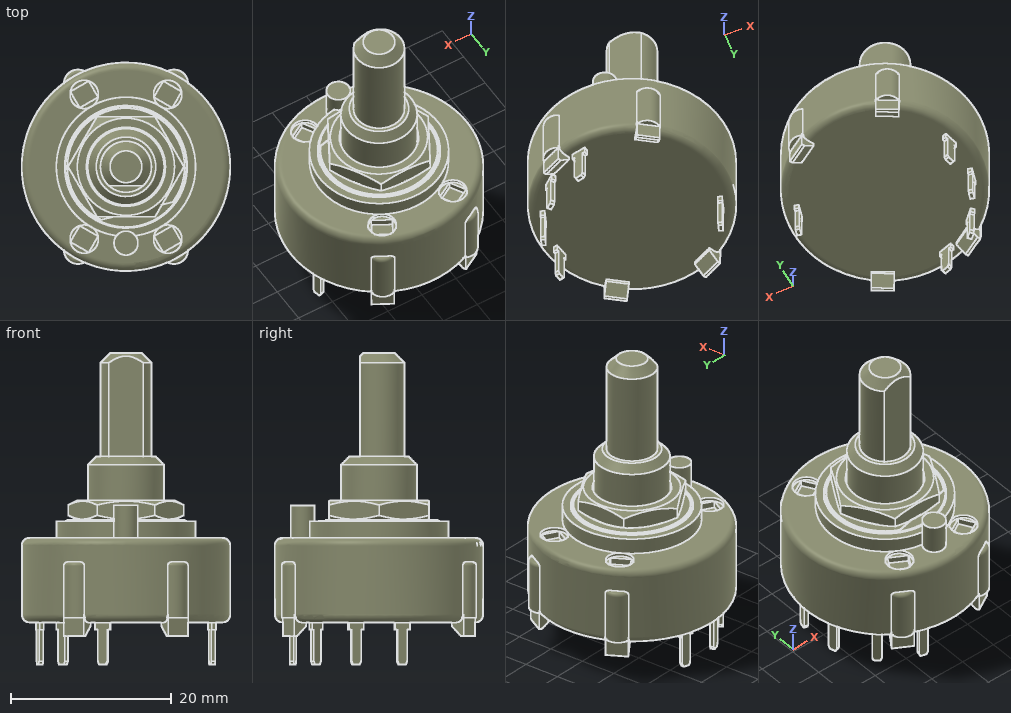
import cadquery as cq
import math

body_bottom = 5.25
body_top = 15.8
boss_top = 17.85
disc_top = 17.93
washer_top = 18.0
nut_top = 20.45
bushing_top = 25.9
shaft_top = 38.8

body_diameter = 26.0
body_face_diameter = 24.0
body_rounding = (body_diameter - body_face_diameter) / 2
boss_diameter = 17.35
boss_groove_diameter = 15.3
boss_groove_depth = 0.4
disc_diameter = 15.0
washer_diameter = 14.6
washer_flat_distance = 5.65
washer_flat_turn = 14

nut_across_flats = 12.5
nut_face_diameter = 12.1
nut_bevel_height = 0.6
nut_bore_diameter = 9.85
bushing_diameter = 9.5
bushing_bevel = 1.05
shaft_diameter = 6.35
shaft_bevel = 1.2
flat_distance = 2.35
flat_depth_in_bushing = 1.35

locating_pin_diameter = 3.0
locating_pin_top = 19.83
locating_pin_radius = 9.5

clip_angles = (60, 120, 240, 300)
clip_hole_diameter = 3.55
clip_hole_radius = 10.4
clip_hole_depth = 0.45
clip_pocket_width = 2.65
clip_pocket_length = 2.33
clip_pocket_depth = 1.35
rib_diameter = 3.55
rib_radius = 11.95
rib_bottom = 5.82
rib_top = 12.8
rib_rounding = 0.5
hook_outer_radius = 13.0
hook_width = 2.87
hook_bottom = 3.55
hook_tip_length = 0.4
hook_root_length = 1.75
hook_root_bottom = 4.8

terminal_angles = (15, 165, 195, 225, 255)
terminal_radius = 11.1
terminal_thickness = 0.55
terminal_width = 1.25
terminal_tip_width = 0.85
terminal_tip_height = 0.43
shoulder_width = 1.9
shoulder_bottom = 4.35

embed = 0.4


def disc(diameter, bottom, top):
    return cq.Workplane("XY").workplane(offset=bottom).circle(diameter / 2).extrude(top - bottom)


def turned(feature, angle):
    return feature.rotate((0, 0, 0), (0, 0, 1), angle)


def make_housing():
    body = disc(body_diameter, body_bottom, body_top).edges("%CIRCLE").fillet(body_rounding)
    recess = disc(boss_groove_diameter, boss_top - boss_groove_depth, boss_top)
    boss = disc(boss_diameter, body_top, boss_top).cut(recess)
    inner_disc = disc(disc_diameter, body_top, disc_top)
    pin = (
        disc(locating_pin_diameter, body_top - embed, locating_pin_top)
        .translate((0, -locating_pin_radius, 0))
    )
    return body.union(boss).union(inner_disc).union(pin)


def make_washer():
    washer = disc(washer_diameter, disc_top, washer_top)
    beyond_flat = (
        cq.Workplane("XY").workplane(offset=disc_top)
        .center(0, -washer_flat_distance - washer_diameter / 2)
        .rect(washer_diameter, washer_diameter)
        .extrude(washer_top - disc_top)
    )
    return washer.cut(turned(beyond_flat, washer_flat_turn))


def make_nut():
    corner_radius = nut_across_flats / math.sqrt(3)
    face_radius = nut_face_diameter / 2
    hexagon = (
        cq.Workplane("XY").workplane(offset=washer_top)
        .polygon(6, 2 * corner_radius).extrude(nut_top - washer_top)
    )
    bevel = (
        cq.Workplane("XZ")
        .moveTo(0, washer_top)
        .lineTo(face_radius, washer_top)
        .lineTo(corner_radius, washer_top + nut_bevel_height)
        .lineTo(corner_radius, nut_top - nut_bevel_height)
        .lineTo(face_radius, nut_top)
        .lineTo(0, nut_top)
        .close()
        .revolve(360, (0, 0, 0), (0, 1, 0))
    )
    return hexagon.intersect(bevel).cut(disc(nut_bore_diameter, washer_top, nut_top))


def make_bushing_and_shaft():
    bushing = disc(bushing_diameter, body_top, bushing_top).faces(">Z").chamfer(bushing_bevel)
    shaft = disc(shaft_diameter, body_top, shaft_top).faces(">Z").chamfer(shaft_bevel)
    flat_bottom = bushing_top - flat_depth_in_bushing
    flat = disc(shaft_diameter, flat_bottom, shaft_top).intersect(
        cq.Workplane("XY").workplane(offset=flat_bottom)
        .center(0, -flat_distance - shaft_diameter / 2)
        .rect(shaft_diameter, shaft_diameter)
        .extrude(shaft_top - flat_bottom)
    )
    return bushing.union(shaft).cut(flat)


def make_clip_pocket():
    hole = disc(clip_hole_diameter, body_top - clip_hole_depth, body_top)
    hole = hole.translate((clip_hole_radius, 0, 0))
    pocket = (
        cq.Workplane("XY").workplane(offset=body_top - clip_pocket_depth)
        .center(clip_hole_radius, 0)
        .rect(clip_pocket_length, clip_pocket_width)
        .extrude(clip_pocket_depth)
    )
    return hole.union(pocket)


def make_rib():
    rib = disc(rib_diameter, rib_bottom, rib_top).faces(">Z").edges().fillet(rib_rounding)
    return rib.translate((rib_radius, 0, 0))


def make_hook():
    root_radius = hook_outer_radius - hook_root_length
    return (
        cq.Workplane("XZ")
        .moveTo(hook_outer_radius, rib_bottom + embed)
        .lineTo(hook_outer_radius, hook_bottom)
        .lineTo(hook_outer_radius - hook_tip_length, hook_bottom)
        .lineTo(root_radius, hook_root_bottom)
        .lineTo(root_radius, rib_bottom + embed)
        .close()
        .extrude(hook_width / 2, both=True)
    )


def make_terminal():
    half_outline = [
        (terminal_tip_width / 2, 0),
        (terminal_width / 2, terminal_tip_height),
        (terminal_width / 2, shoulder_bottom),
        (shoulder_width / 2, shoulder_bottom),
        (shoulder_width / 2, body_bottom + embed),
    ]
    mirrored = [(-across, height) for across, height in reversed(half_outline)]
    return (
        cq.Workplane("YZ").workplane(offset=terminal_radius)
        .polyline(half_outline + mirrored).close()
        .extrude(terminal_thickness / 2, both=True)
    )


result = make_housing().union(make_washer()).union(make_nut()).union(make_bushing_and_shaft())
for angle in clip_angles:
    result = result.union(turned(make_rib(), angle)).union(turned(make_hook(), angle))
    result = result.cut(turned(make_clip_pocket(), angle))
for angle in terminal_angles:
    result = result.union(turned(make_terminal(), angle))